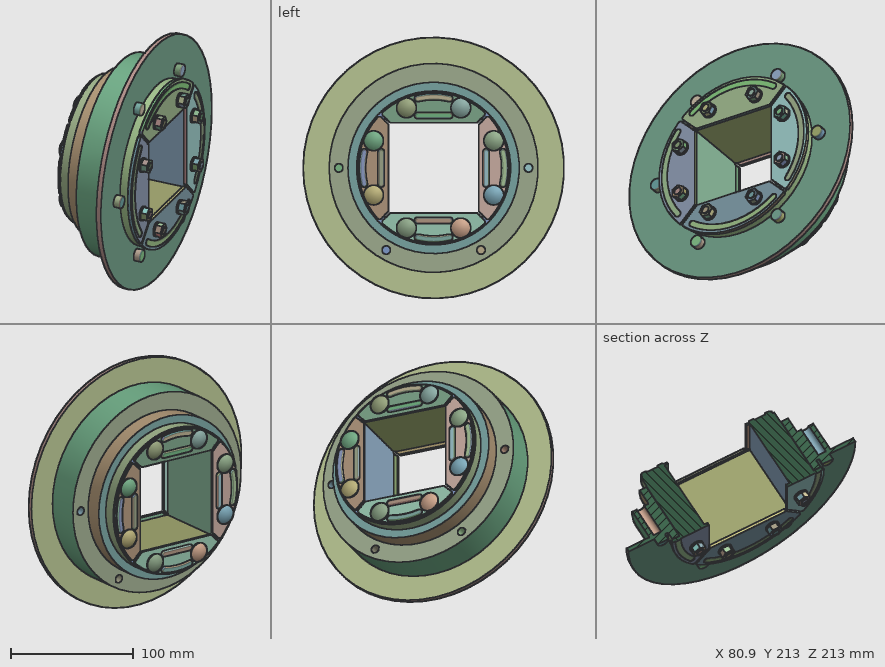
import cadquery as cq
import math


bore_radius = 62.8
sleeve_radius = 69.9
sleeve_front_x = -42.8
sleeve_rear_x = 11.5
hub_radius = 85.2
hub_front_x = -28.1
flange_radius = 106.5
flange_thickness = 4.0

screw_circle_radius = 77.3
screw_count = 6
screw_head_radius = 5.1
screw_head_height = 5.5
screw_head_rounding = 0.5
screw_hole_radius = 3.5
screw_hole_angles = (180, 240, 300, 360)

core_front_x = -53.0
core_opening = 79.7
front_plate_thickness = 2.1
rear_plate_thickness = 2.8
plate_opening = 73.5
plate_gap = 2.0
plate_corner_radius = 2.1
front_plate_radius = 61.5
rear_plate_radius = 71.1
quarter_angles = (0, 90, 180, 270)

rib_width = 5.3
rib_corner_radius = 2.5
front_rib_length = 31.3
front_rib_height = 1.3
front_rib_rounding = 1.0
front_rib_rim_margin = 0.9
straight_rib_margin = 3.5
rear_rib_length = 83.5
rear_rib_height = 0.6
rear_rib_rounding = 0.5
rear_rib_rim_margin = 2.5

bolt_spacing = 44.3
bolt_offset = 49.0
bolt_radius = 3.2
bolt_rear_x = 21.7
bolt_head_radius = 8.0
head_rim_height = 0.9
head_dome_height = 3.2
washer_radius = 6.0
washer_thickness = 1.3
nut_across_flats = 10.2
nut_height = 5.3

plate_front_x = core_front_x - front_plate_thickness
plate_rear_x = sleeve_rear_x + rear_plate_thickness


def cross_plane(x):
    """Workplane across the axis, with local x along Y and local y along Z."""
    return cq.Workplane("YZ", origin=(x, 0, 0))


def disc(radius, start_x, end_x):
    """Cylinder on the X axis between two stations."""
    return cross_plane(start_x).circle(radius).extrude(end_x - start_x)


def turned(shape, angle):
    """Copy of a shape turned about the X axis."""
    return shape.rotate((0, 0, 0), (1, 0, 0), angle)


def screw_head():
    """Head of a cap screw on the +Y side of the flange."""
    return (
        cross_plane(flange_thickness)
        .center(screw_circle_radius, 0)
        .circle(screw_head_radius)
        .extrude(screw_head_height)
        .faces(">X")
        .edges()
        .fillet(screw_head_rounding)
    )


def screw_hole():
    """Blind screw hole on the +Y side, from the hub front to the flange."""
    return (
        cross_plane(hub_front_x)
        .center(screw_circle_radius, 0)
        .circle(screw_hole_radius)
        .extrude(-hub_front_x)
    )


def make_housing():
    body = disc(sleeve_radius, sleeve_front_x, sleeve_rear_x)
    body = body.union(disc(hub_radius, hub_front_x, 0))
    body = body.union(disc(flange_radius, 0, flange_thickness))
    body = body.cut(disc(bore_radius, sleeve_front_x, sleeve_rear_x))
    for index in range(screw_count):
        body = body.union(turned(screw_head(), index * 360 / screw_count))
    for angle in screw_hole_angles:
        body = body.cut(turned(screw_hole(), angle))
    return body


def make_plate(start_x, thickness, rim_radius):
    """Upper clamping plate: a disc segment with 45 degree ends and an arc rim."""
    bottom = plate_opening / 2
    half_bottom = bottom - plate_gap / math.sqrt(2)
    wedge = (
        cross_plane(start_x)
        .polyline(
            [
                (-half_bottom, bottom),
                (half_bottom, bottom),
                (half_bottom + rim_radius, bottom + rim_radius),
                (-half_bottom - rim_radius, bottom + rim_radius),
            ]
        )
        .close()
        .extrude(thickness)
    )
    plate = wedge.intersect(disc(rim_radius, start_x, start_x + thickness))
    margin = plate_corner_radius
    end_corners = cq.selectors.BoxSelector(
        (start_x - margin, -rim_radius, bottom + margin),
        (start_x + thickness + margin, rim_radius, rim_radius / math.sqrt(2) + margin),
    )
    return plate.edges("|X").edges(end_corners).fillet(plate_corner_radius)


def straight_rib():
    """Straight rib between the opening and the bolts on the upper front plate."""
    return (
        cross_plane(plate_front_x)
        .center(0, plate_opening / 2 + straight_rib_margin + rib_width / 2)
        .rect(front_rib_length, rib_width)
        .extrude(-front_rib_height)
        .edges("|X")
        .fillet(rib_corner_radius)
        .faces("<X")
        .edges()
        .fillet(front_rib_rounding)
    )


def arc_rib(start_x, height, length, outer_radius):
    """Rib concentric with the plate rim, above the opening, with rounded corners."""
    return (
        cross_plane(start_x)
        .center(0, outer_radius)
        .rect(length, outer_radius)
        .extrude(height)
        .intersect(disc(outer_radius, start_x, start_x + height))
        .cut(disc(outer_radius - rib_width, start_x, start_x + height))
        .edges("|X")
        .fillet(rib_corner_radius)
    )


def front_arc_rib():
    """Short arc rib between the two bolt heads of the upper front plate."""
    outer_radius = front_plate_radius - front_rib_rim_margin
    start_x = plate_front_x - front_rib_height
    rib = arc_rib(start_x, front_rib_height, front_rib_length, outer_radius)
    return rib.faces("<X").edges().fillet(front_rib_rounding)


def rear_arc_rib():
    """Long, low arc rib around the outside of the two nuts of the upper rear plate."""
    outer_radius = rear_plate_radius - rear_rib_rim_margin
    rib = arc_rib(plate_rear_x, rear_rib_height, rear_rib_length, outer_radius)
    return rib.faces(">X").edges().fillet(rear_rib_rounding)


def make_bolt():
    """Domed bolt on its own X axis, with its washer and nut."""
    rim_x = plate_front_x - head_rim_height
    tip_x = rim_x - head_dome_height
    dome_radius = (bolt_head_radius**2 + head_dome_height**2) / (2 * head_dome_height)
    half_angle = math.asin(bolt_head_radius / dome_radius) / 2
    mid_x = tip_x + dome_radius * (1 - math.cos(half_angle))
    mid_radius = dome_radius * math.sin(half_angle)
    head = (
        cq.Workplane("XY")
        .moveTo(tip_x, 0)
        .threePointArc((mid_x, mid_radius), (rim_x, bolt_head_radius))
        .lineTo(plate_front_x, bolt_head_radius)
        .lineTo(plate_front_x, 0)
        .close()
        .revolve(360, (0, 0, 0), (1, 0, 0))
    )
    nut_x = plate_rear_x + washer_thickness
    nut_corner_diameter = nut_across_flats / math.cos(math.pi / 6)
    nut = cross_plane(nut_x).polygon(6, nut_corner_diameter).extrude(nut_height)
    shank = disc(bolt_radius, plate_front_x, bolt_rear_x)
    washer = disc(washer_radius, plate_rear_x, nut_x)
    return head.union(shank).union(washer).union(nut)


def make_clamp():
    """Front and rear plate above the opening, with their ribs and bolts."""
    clamp = make_plate(plate_front_x, front_plate_thickness, front_plate_radius)
    clamp = clamp.union(straight_rib())
    clamp = clamp.union(front_arc_rib())
    clamp = clamp.union(make_plate(sleeve_rear_x, rear_plate_thickness, rear_plate_radius))
    clamp = clamp.union(rear_arc_rib())
    for side in (-1, 1):
        clamp = clamp.union(make_bolt().translate((0, side * bolt_spacing / 2, bolt_offset)))
    return clamp


def make_gland():
    body = disc(bore_radius, core_front_x, sleeve_rear_x)
    opening_length = sleeve_rear_x - core_front_x
    body = body.cut(cross_plane(core_front_x).rect(core_opening, core_opening).extrude(opening_length))
    clamp = make_clamp()
    for angle in quarter_angles:
        body = body.union(turned(clamp, angle))
    return body


housing = make_housing()
gland = make_gland()
result = cq.Compound.makeCompound([housing.val(), gland.val()])